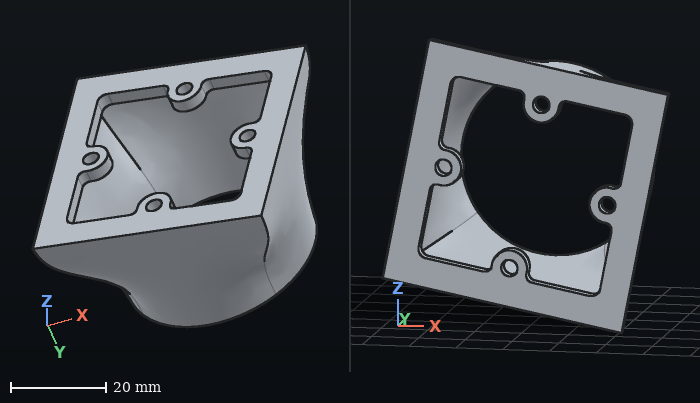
import cadquery as cq
import math

depth = 32.0
overall_width = 61.0
turn = 11.0
wall = 1.1
rear_radius = 21.2

frame_depth = 3.0
opening_side = 39.5
opening_corner_radius = 2.0
boss_count = 4
boss_distance = 17.8
boss_radius = 3.8
boss_blend_radius = 1.5
screw_diameter = 3.5
edge_tolerance = 0.1

section_count = 13
corner_delay = 1.1
corner_flare = 0.2
rear_twist = 0.8

turn_radians = math.radians(turn)
square_side = overall_width / (math.cos(turn_radians) + math.sin(turn_radians))
frame_start = depth - frame_depth


def polar_point(radius, angle, y):
    """Point at an angle in degrees from the turned X direction."""
    a = math.radians(angle - turn)
    return cq.Vector(radius * math.cos(a), y, radius * math.sin(a))


def section(fraction, inset):
    """Four-sided outline that changes from a circle (0) to a square (1)."""
    circle_radius = rear_radius - inset
    half_side = square_side / 2 - inset
    eased = fraction**corner_delay
    corner_blend = eased**3 * (
        10 - 4 * corner_flare + (7 * corner_flare - 15) * eased + (6 - 3 * corner_flare) * eased**2
    )
    corner_radius = circle_radius + corner_blend * (half_side * math.sqrt(2) - circle_radius)
    middle_radius = circle_radius + fraction * (half_side - circle_radius)
    y = -fraction * depth

    edges = []
    for side in range(4):
        middle_angle = 90 * side + rear_twist * (1 - corner_blend)
        start = polar_point(corner_radius, middle_angle - 45, y)
        end = polar_point(corner_radius, middle_angle + 45, y)
        if fraction == 1:
            edges.append(cq.Edge.makeLine(start, end))
        else:
            middle = polar_point(middle_radius, middle_angle, y)
            edges.append(cq.Edge.makeThreePointArc(start, middle, end))
    return cq.Wire.assembleEdges(edges)


def transition(inset):
    """Solid blend from the rear circle to the front square."""
    last = section_count - 1
    wires = [section(i / last, inset) for i in range(section_count)]
    return cq.Workplane(obj=cq.Solid.makeLoft(wires))


def frame_plane():
    """Sketch plane behind the frame, facing the front and turned with the square."""
    return cq.Workplane("XZ", origin=(0, -frame_start, 0)).transformed(rotate=(0, 0, -turn))


def frame_opening():
    """Rounded square opening with a scallop left around each screw boss."""
    opening = (
        frame_plane()
        .rect(opening_side, opening_side)
        .extrude(frame_depth)
        .edges("|Y")
        .fillet(opening_corner_radius)
    )
    bosses = (
        frame_plane()
        .polarArray(boss_distance, 0, 360, boss_count)
        .circle(boss_radius)
        .extrude(frame_depth)
    )
    neck_half_width = math.sqrt(boss_radius**2 - (opening_side / 2 - boss_distance) ** 2)
    neck_reach = math.hypot(opening_side / 2, neck_half_width)
    opening = opening.cut(bosses)
    necks = [
        edge
        for edge in opening.edges("|Y").vals()
        if abs(math.hypot(edge.Center().x, edge.Center().z) - neck_reach) < edge_tolerance
    ]
    return opening.newObject(necks).fillet(boss_blend_radius)


def screw_holes():
    """Round holes through the frame, one in each boss."""
    return (
        frame_plane()
        .polarArray(boss_distance, 0, 360, boss_count)
        .circle(screw_diameter / 2)
        .extrude(frame_depth)
    )


outer = transition(0)
cavity_behind_frame = transition(wall).cut(
    frame_plane().rect(2 * overall_width, 2 * overall_width).extrude(frame_depth)
)

result = outer.cut(cavity_behind_frame).cut(frame_opening()).cut(screw_holes())